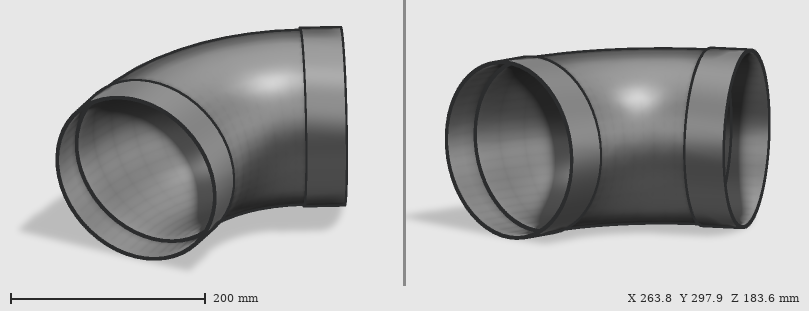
import cadquery as cq
import math

bend_angle = 60.0
pipe_outer_diameter = 180.0
wall = 1.8
collar_length = 41.7
socket_depth = 40.0

socket_diameter = pipe_outer_diameter
collar_diameter = socket_diameter + 2 * wall
bore_diameter = pipe_outer_diameter - 2 * wall
bend_radius = pipe_outer_diameter

angle = math.radians(bend_angle)
bend_end = cq.Vector(bend_radius * (1 - math.cos(angle)), bend_radius * math.sin(angle), 0)
end_direction = cq.Vector(math.sin(angle), math.cos(angle), 0)

ends = [
    (cq.Vector(0, 0, 0), cq.Vector(0, -1, 0)),
    (bend_end, end_direction),
]


def bent_rod(diameter):
    """Solid round rod following the bend, turned about an axis parallel to Z."""
    axis_start = (bend_radius, 3, 0)
    axis_end = (bend_radius, 0, 0)
    return cq.Workplane("XZ").circle(diameter / 2).revolve(bend_angle, axis_start, axis_end)


def end_cylinder(end, diameter, inner_distance):
    """Cylinder from a distance beyond the end of the bend out to the collar rim."""
    position, direction = end
    start = position + direction * inner_distance
    length = collar_length - inner_distance
    return cq.Workplane(cq.Solid.makeCylinder(diameter / 2, length, start, direction))


outside = bent_rod(pipe_outer_diameter)
inside = bent_rod(bore_diameter)
for end in ends:
    outside = outside.union(end_cylinder(end, collar_diameter, 0))
    inside = inside.union(end_cylinder(end, bore_diameter, 0))

    inside = inside.union(end_cylinder(end, socket_diameter, collar_length - socket_depth))

result = outside.cut(inside)